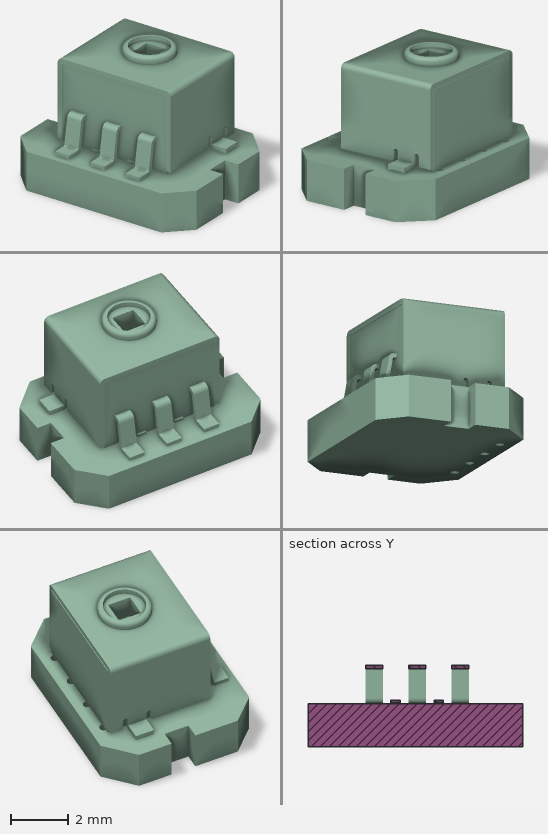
import cadquery as cq
import math


BOARD_LENGTH = 7.49
BOARD_WIDTH = 5.71
BOARD_THICKNESS = 1.51
BOARD_RIGHT = 3.805
BOARD_BACK = 2.255
BOARD_LEFT = BOARD_RIGHT - BOARD_LENGTH
BOARD_FRONT = BOARD_BACK - BOARD_WIDTH
BACK_CORNER_CUT = 1.0
FRONT_CORNER_CUT = 0.88
NOTCH_WIDTH = 0.92
LEFT_NOTCH_DEPTH = 0.54
LEFT_NOTCH_BACK = -0.01
RIGHT_NOTCH_DEPTH = 0.56
RIGHT_NOTCH_BACK = -0.04
HOLE_DIAMETER = 0.31
HOLE_COUNT = 4
HOLE_PITCH = 1.27
HOLE_ROW_Y = 1.75

TOTAL_HEIGHT = 5.04
BUTTON_HEIGHT = 0.29
BOARD_GAP = 0.02
SEAT_Z = BOARD_THICKNESS + BOARD_GAP
SHELL_TOP = TOTAL_HEIGHT - BUTTON_HEIGHT

SHEET = 0.195
SHELL_HALF_WIDTH = 2.405
SHELL_BACK = 1.73
SHELL_FRONT = -2.14
SKIRT_CLEARANCE = 0.1
SHELL_SKIRT_Z = SEAT_Z + SKIRT_CLEARANCE
CORE_HALF_WIDTH = SHELL_HALF_WIDTH - SHEET
CORE_SHIFT = 0.02
CORE_BACK = SHELL_BACK + CORE_SHIFT
CORE_FRONT = SHELL_FRONT + CORE_SHIFT
NUB_WIDTH = 0.345
NUB_FRONT = -2.2

TAB_REACH = 3.0
TAB_CENTRE_Y = 0.69
SLOT_PITCH = 0.9
SLOT_WIDTH = 0.2
SLOT_TOP = 2.1
TAB_WIDTH = SLOT_PITCH - SLOT_WIDTH

BUTTON_DIAMETER = 1.9
BUTTON_ROUNDING = 0.15
DISH_DIAMETER = 1.51
DISH_DEPTH = 0.2
SOCKET_SIDE = 0.855
SOCKET_DEPTH = 0.9

PIN_COUNT = 3
PIN_PITCH = 1.5
PIN_WIDTH = 0.6
PIN_SHEET = 0.15
PIN_TOP = 2.86
PIN_SHOULDER_Y = -2.4
PIN_TIP_Y = -3.15
PIN_LEAN = math.radians(10)
PIN_INNER_BEND = 0.045
PIN_OUTER_BEND = PIN_INNER_BEND + PIN_SHEET


def block(x_range, y_range, z_range):
    """Axis-aligned box between the given limits."""
    lows, highs = zip(x_range, y_range, z_range)
    size = [high - low for low, high in zip(lows, highs)]
    return cq.Workplane("XY").box(*size, centered=False).translate(lows)


def row(count, pitch):
    """Evenly spaced positions centred on zero."""
    return [(i - (count - 1) / 2) * pitch for i in range(count)]


def make_board():
    """Board with four cut corners, a notch in each end and a row of through holes."""
    outline = [
        (BOARD_LEFT, BOARD_FRONT + FRONT_CORNER_CUT),
        (BOARD_LEFT + FRONT_CORNER_CUT, BOARD_FRONT),
        (BOARD_RIGHT - FRONT_CORNER_CUT, BOARD_FRONT),
        (BOARD_RIGHT, BOARD_FRONT + FRONT_CORNER_CUT),
        (BOARD_RIGHT, BOARD_BACK - BACK_CORNER_CUT),
        (BOARD_RIGHT - BACK_CORNER_CUT, BOARD_BACK),
        (BOARD_LEFT + BACK_CORNER_CUT, BOARD_BACK),
        (BOARD_LEFT, BOARD_BACK - BACK_CORNER_CUT),
    ]
    thickness = (0, BOARD_THICKNESS)
    left_notch = block(
        (BOARD_LEFT, BOARD_LEFT + LEFT_NOTCH_DEPTH),
        (LEFT_NOTCH_BACK - NOTCH_WIDTH, LEFT_NOTCH_BACK),
        thickness,
    )
    right_notch = block(
        (BOARD_RIGHT - RIGHT_NOTCH_DEPTH, BOARD_RIGHT),
        (RIGHT_NOTCH_BACK - NOTCH_WIDTH, RIGHT_NOTCH_BACK),
        thickness,
    )
    holes = (
        cq.Workplane("XY")
        .pushPoints([(x, HOLE_ROW_Y) for x in row(HOLE_COUNT, HOLE_PITCH)])
        .circle(HOLE_DIAMETER / 2)
        .extrude(BOARD_THICKNESS)
    )
    plate = cq.Workplane("XY").polyline(outline).close().extrude(BOARD_THICKNESS)
    return plate.cut(left_notch).cut(right_notch).cut(holes)


def make_shell():
    """Bent sheet shell open at both ends, rounded along the top and slotted beside the tabs."""
    shell = block(
        (-SHELL_HALF_WIDTH, SHELL_HALF_WIDTH),
        (SHELL_FRONT, SHELL_BACK),
        (SHELL_SKIRT_Z, SHELL_TOP),
    )
    shell = shell.edges("|Y and >Z").fillet(SHEET)
    inside = block(
        (-CORE_HALF_WIDTH, CORE_HALF_WIDTH),
        (SHELL_FRONT, SHELL_BACK),
        (SHELL_SKIRT_Z, SHELL_TOP - SHEET),
    )
    shell = shell.cut(inside)
    for offset in row(2, SLOT_PITCH):
        shell = shell.cut(make_slot(TAB_CENTRE_Y + offset))
    return shell


def make_slot(centre_y):
    """Round-topped relief slot running across both side walls."""
    radius = SLOT_WIDTH / 2
    spring_z = SLOT_TOP - radius
    return (
        cq.Workplane("YZ")
        .moveTo(centre_y - radius, SHELL_SKIRT_Z)
        .lineTo(centre_y - radius, spring_z)
        .threePointArc((centre_y, SLOT_TOP), (centre_y + radius, spring_z))
        .lineTo(centre_y + radius, SHELL_SKIRT_Z)
        .close()
        .extrude(SHELL_HALF_WIDTH, both=True)
    )


def make_tab(side):
    """Solder tab bent outwards from the side wall; side is -1 for left and +1 for right."""
    tab_top = SEAT_Z + SHEET
    diagonal = SHEET * math.sqrt(0.5)
    bend_middle = (side * (SHELL_HALF_WIDTH - diagonal), tab_top - diagonal)
    return (
        cq.Workplane("XZ", origin=(0, TAB_CENTRE_Y, 0))
        .moveTo(side * CORE_HALF_WIDTH, tab_top)
        .threePointArc(bend_middle, (side * SHELL_HALF_WIDTH, SEAT_Z))
        .lineTo(side * TAB_REACH, SEAT_Z)
        .lineTo(side * TAB_REACH, tab_top)
        .close()
        .extrude(TAB_WIDTH / 2, both=True)
    )


def make_core():
    """Moulded core inside the shell, with two small nubs low on its front face."""
    core = block(
        (-CORE_HALF_WIDTH, CORE_HALF_WIDTH),
        (CORE_FRONT, CORE_BACK),
        (SEAT_Z, SHELL_TOP - SHEET),
    )
    for x in row(PIN_COUNT - 1, PIN_PITCH):
        nub = block(
            (x - NUB_WIDTH / 2, x + NUB_WIDTH / 2),
            (NUB_FRONT, CORE_FRONT),
            (SEAT_Z, SHELL_SKIRT_Z),
        )
        core = core.union(nub)
    return core


def make_pin(centre_x):
    """Gull-wing pin: short shoulder, leaning leg and flat foot, with rounded bends."""
    foot_top = SEAT_Z + PIN_SHEET
    face_width = PIN_SHEET / math.cos(PIN_LEAN)

    def front_face_y(z):
        return PIN_SHOULDER_Y - (PIN_TOP - z) * math.tan(PIN_LEAN)

    shoulder_outer = (front_face_y(PIN_TOP), PIN_TOP)
    shoulder_inner = (front_face_y(PIN_TOP - PIN_SHEET) + face_width, PIN_TOP - PIN_SHEET)
    heel_inner = (front_face_y(foot_top), foot_top)
    heel_outer = (front_face_y(SEAT_Z) + face_width, SEAT_Z)
    outline = [
        (CORE_FRONT, PIN_TOP),
        shoulder_outer,
        heel_inner,
        (PIN_TIP_Y, foot_top),
        (PIN_TIP_Y, SEAT_Z),
        heel_outer,
        shoulder_inner,
        (CORE_FRONT, PIN_TOP - PIN_SHEET),
    ]
    pin = (
        cq.Workplane("YZ", origin=(centre_x, 0, 0))
        .polyline(outline)
        .close()
        .extrude(PIN_WIDTH / 2, both=True)
    )

    def bend(corners, radius):
        edges = [pin.edges(cq.NearestToPointSelector((centre_x, y, z))).val() for y, z in corners]
        return pin.newObject(edges).fillet(radius)

    pin = bend([shoulder_outer, heel_outer], PIN_OUTER_BEND)
    return bend([shoulder_inner, heel_inner], PIN_INNER_BEND)


def make_button():
    """Round button with a rounded top rim, standing on the shell."""
    return (
        cq.Workplane("XY", origin=(0, 0, SHELL_TOP))
        .circle(BUTTON_DIAMETER / 2)
        .extrude(BUTTON_HEIGHT)
        .faces(">Z")
        .edges()
        .fillet(BUTTON_ROUNDING)
    )


def make_button_recess():
    """Round dish in the button top with a square socket below it."""
    dish_floor = TOTAL_HEIGHT - DISH_DEPTH
    floor_plane = cq.Workplane("XY", origin=(0, 0, dish_floor))
    dish = floor_plane.circle(DISH_DIAMETER / 2).extrude(DISH_DEPTH)
    socket = floor_plane.rect(SOCKET_SIDE, SOCKET_SIDE).extrude(-SOCKET_DEPTH)
    return dish.union(socket)


def make_switch():
    """Complete switch as one solid."""
    switch = make_core().union(make_shell()).union(make_button())
    for side in (-1, 1):
        switch = switch.union(make_tab(side))
    for x in row(PIN_COUNT, PIN_PITCH):
        switch = switch.union(make_pin(x))
    return switch.cut(make_button_recess())


board = make_board()
switch = make_switch()
result = cq.Compound.makeCompound([board.val(), switch.val()])